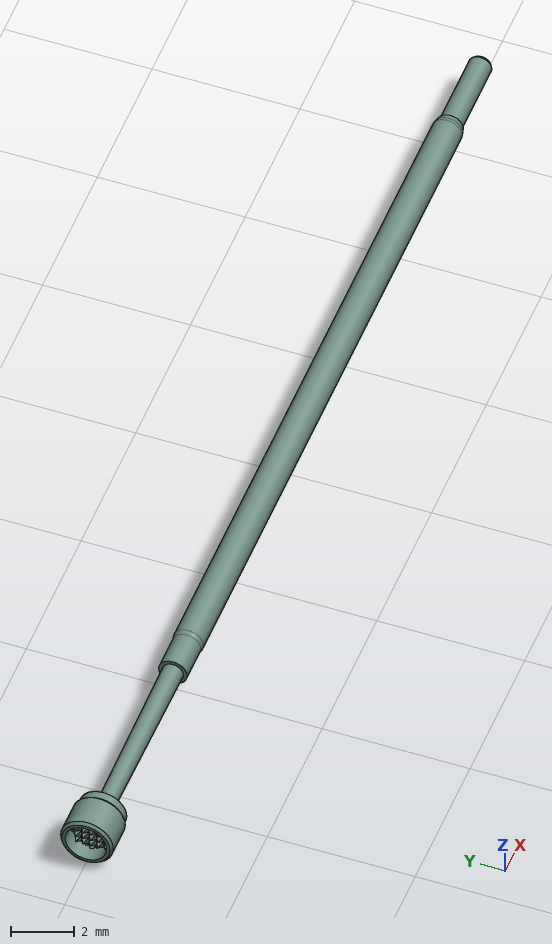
import cadquery as cq
import math

total_length = 36.14

head_radius = 1.78 / 2
rim_chamfer_length = 0.10
rim_chamfer_depth = 0.08
head_straight_end = 1.20
head_shoulder_start = 1.30
head_end = 1.58
head_back_radius = 0.80

pocket_radius = 0.70
tooth_tip_depth = 0.40
tooth_pitch = 0.25
tooth_angle = 60.0
tooth_height = tooth_pitch / 2 / math.tan(math.radians(tooth_angle / 2))
pocket_depth = tooth_tip_depth + tooth_height
tooth_root_stock = 0.20

collar_radius = 0.36
collar_end = 1.66
shaft_start_radius = 0.30
shaft_end_radius = 0.355

barrel_start = 7.95
sleeve_radius = 0.48
sleeve_end = 9.20
barrel_step_end = 9.37
barrel_radius = 0.51
crimp_start = 33.00
crimp_middle = 33.12
crimp_middle_radius = 0.49
barrel_end = 33.30
barrel_end_radius = 0.44

tail_radius = 0.39
tail_chamfer_length = 0.10
tail_chamfer_depth = 0.06


def make_body():
    """Revolve the half outline of the whole probe about X."""
    outline = [
        (0, 0),
        (0, head_radius - rim_chamfer_depth),
        (rim_chamfer_length, head_radius),
        (head_straight_end, head_radius),
        (head_shoulder_start, head_back_radius),
        (head_end, head_back_radius),
        (head_end, collar_radius),
        (collar_end, shaft_start_radius),
        (barrel_start, shaft_end_radius),
        (barrel_start, sleeve_radius),
        (sleeve_end, sleeve_radius),
        (barrel_step_end, barrel_radius),
        (crimp_start, barrel_radius),
        (crimp_middle, crimp_middle_radius),
        (barrel_end, barrel_end_radius),
        (barrel_end, tail_radius),
        (total_length - tail_chamfer_length, tail_radius),
        (total_length, tail_radius - tail_chamfer_depth),
        (total_length, 0),
    ]
    profile = cq.Workplane("XZ").polyline(outline).close()
    return profile.revolve(360, (0, 0, 0), (1, 0, 0))


def make_ridges(plane):
    """Make parallel V ridges pointing to -X, wide enough to cover the pocket floor."""
    teeth_each_side = math.ceil(pocket_radius / tooth_pitch)
    half_width = (teeth_each_side + 0.5) * tooth_pitch
    root_x = pocket_depth + tooth_root_stock
    points = [(root_x, -half_width), (pocket_depth, -half_width)]
    for index in range(-teeth_each_side, teeth_each_side + 1):
        tip = index * tooth_pitch
        points.append((tooth_tip_depth, tip))
        points.append((pocket_depth, tip + tooth_pitch / 2))
    points.append((root_x, half_width))
    return cq.Workplane(plane).polyline(points).close().extrude(head_radius, both=True)


def make_pocket():
    """Make the round pocket space, leaving a floor of square pyramid teeth."""
    bore = cq.Workplane("YZ").circle(pocket_radius).extrude(pocket_depth)
    pyramids = make_ridges("XY").intersect(make_ridges("XZ"))
    return bore.cut(pyramids)


result = make_body().cut(make_pocket())